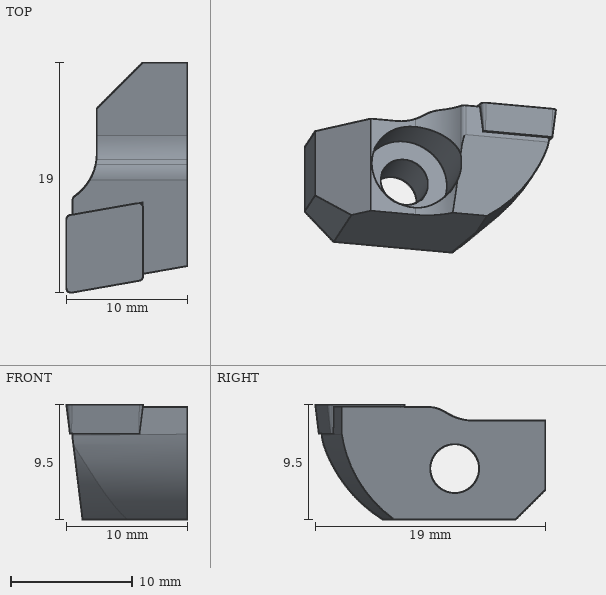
import cadquery as cq
import math

TOTAL_WIDTH = 10.0
TOTAL_LENGTH = 19.0
TOTAL_HEIGHT = 9.5

INSERT_WIDTH = 6.35
INSERT_THICKNESS = 2.4
INSERT_NOSE_RADIUS = 0.4
RELIEF_ANGLE = 7.0
LEAD_ANGLE = 10.0
LEAD_SLOPE = math.tan(math.radians(LEAD_ANGLE))
LEAD_COSINE = math.cos(math.radians(LEAD_ANGLE))
SEAT_Z = TOTAL_HEIGHT - INSERT_THICKNESS

HEAD_SIDE_X = 0.51
SHANK_SIDE_X = 2.5
FRONT_OFFSET = 0.44
SHANK_CHAMFER = 3.8
NECK_RADIUS = 4.2
NECK_START_Y = 11.44
NECK_CORNER_RADIUS = 0.45

HEAD_TOP_Z = 9.31
SHANK_TOP_Z = 8.19
STEP_START_Y = 13.02
STEP_ANGLE = 30.0
STEP_HOLLOW_RADIUS = 3.99
STEP_CROWN_RADIUS = 2.5
HEEL_CHAMFER = 2.47

SIDE_RELIEF_TOP_Z = 6.73

HOLE_Y = 11.51
HOLE_Z = 4.22
HOLE_DIAMETER = 4.0
COUNTERBORE_DIAMETER = 7.2
COUNTERBORE_DEPTH = 3.42

STRAIGHT_NOSE_ARC = [(0.63, 6.36), (2.55, 2.75), (5.6, 0.0)]
SLANTED_NOSE_ARC = [(FRONT_OFFSET, SEAT_Z - 0.11), (1.98, 2.85), (4.7, -0.04)]
SLANTED_NOSE_TILT = 0.5

MARGIN = 1.9


def tapered_rhombus(nose_radius):
    """Insert shape narrowing downwards from the top face to the seat."""
    corner_y = INSERT_NOSE_RADIUS * (1 - LEAD_SLOPE - 1 / LEAD_COSINE)
    rise = INSERT_WIDTH * LEAD_SLOPE
    side = INSERT_WIDTH / LEAD_COSINE
    outline = cq.Sketch().polygon([
        (0, corner_y),
        (INSERT_WIDTH, corner_y + rise),
        (INSERT_WIDTH, corner_y + rise + side),
        (0, corner_y + side),
        (0, corner_y),
    ])
    if nose_radius > 0:
        outline = outline.vertices().fillet(nose_radius)
    return (
        cq.Workplane("XY", origin=(0, 0, TOTAL_HEIGHT))
        .placeSketch(outline)
        .extrude(-INSERT_THICKNESS, taper=RELIEF_ANGLE)
    )


def neck_point(x):
    """Point at the given X on the hollow arc of the neck."""
    from_center = x - (SHANK_SIDE_X - NECK_RADIUS)
    return (x, NECK_START_Y - math.sqrt(NECK_RADIUS**2 - from_center**2))


def plan_body():
    """Holder outline extruded to full head height."""
    neck_middle_x = (HEAD_SIDE_X + SHANK_SIDE_X) / 2
    body = (
        cq.Workplane("XY")
        .moveTo(HEAD_SIDE_X, FRONT_OFFSET + HEAD_SIDE_X * LEAD_SLOPE)
        .lineTo(TOTAL_WIDTH, FRONT_OFFSET + TOTAL_WIDTH * LEAD_SLOPE)
        .lineTo(TOTAL_WIDTH, TOTAL_LENGTH)
        .lineTo(SHANK_SIDE_X + SHANK_CHAMFER, TOTAL_LENGTH)
        .lineTo(SHANK_SIDE_X, TOTAL_LENGTH - SHANK_CHAMFER)
        .lineTo(SHANK_SIDE_X, NECK_START_Y)
        .threePointArc(neck_point(neck_middle_x), neck_point(HEAD_SIDE_X))
        .close()
        .extrude(HEAD_TOP_Z)
    )
    corner = cq.NearestToPointSelector((*neck_point(HEAD_SIDE_X), HEAD_TOP_Z / 2))
    return body.edges("|Z").edges(corner).fillet(NECK_CORNER_RADIUS)


def side_profile():
    """Side outline with the stepped top, the heel chamfer and the straight nose arc."""
    angle = math.radians(STEP_ANGLE)
    half = angle / 2
    hollow_middle = (
        STEP_START_Y - STEP_HOLLOW_RADIUS * math.sin(half),
        SHANK_TOP_Z + STEP_HOLLOW_RADIUS * (1 - math.cos(half)),
    )
    hollow_end = (
        STEP_START_Y - STEP_HOLLOW_RADIUS * math.sin(angle),
        SHANK_TOP_Z + STEP_HOLLOW_RADIUS * (1 - math.cos(angle)),
    )
    crown_start_z = HEAD_TOP_Z - STEP_CROWN_RADIUS * (1 - math.cos(angle))
    crown_start_y = hollow_end[0] - (crown_start_z - hollow_end[1]) / math.tan(angle)
    crown_end_y = crown_start_y - STEP_CROWN_RADIUS * math.sin(angle)
    crown_middle = (
        crown_end_y + STEP_CROWN_RADIUS * math.sin(half),
        HEAD_TOP_Z - STEP_CROWN_RADIUS * (1 - math.cos(half)),
    )
    nose_top, nose_middle, nose_bottom = STRAIGHT_NOSE_ARC
    return (
        cq.Workplane("YZ")
        .moveTo(*nose_bottom)
        .lineTo(TOTAL_LENGTH - HEEL_CHAMFER, 0)
        .lineTo(TOTAL_LENGTH, HEEL_CHAMFER)
        .lineTo(TOTAL_LENGTH, SHANK_TOP_Z)
        .lineTo(STEP_START_Y, SHANK_TOP_Z)
        .threePointArc(hollow_middle, hollow_end)
        .lineTo(crown_start_y, crown_start_z)
        .threePointArc(crown_middle, (crown_end_y, HEAD_TOP_Z))
        .lineTo(0, HEAD_TOP_Z)
        .lineTo(0, nose_top[1])
        .lineTo(*nose_top)
        .threePointArc(nose_middle, nose_bottom)
        .close()
        .extrude(TOTAL_WIDTH)
    )


def slanted_nose_cutter():
    """Material removed below the slanted nose arc."""
    top, middle, bottom = [(y * LEAD_COSINE, z) for y, z in SLANTED_NOSE_ARC]
    return (
        cq.Workplane("YZ", origin=(-MARGIN, 0, 0))
        .moveTo(*top)
        .threePointArc(middle, bottom)
        .lineTo(bottom[0], -MARGIN)
        .lineTo(-MARGIN, -MARGIN)
        .lineTo(-MARGIN, top[1])
        .close()
        .extrude(TOTAL_WIDTH + 3 * MARGIN)
        .rotate((0, 0, 0), (0, 1, 0), -SLANTED_NOSE_TILT)
        .rotate((0, 0, 0), (0, 0, 1), LEAD_ANGLE)
    )


def side_relief_cutter():
    """Wedge that slopes the head side inwards towards the underside."""
    relief = SIDE_RELIEF_TOP_Z * math.tan(math.radians(RELIEF_ANGLE))
    return (
        cq.Workplane("XZ")
        .polyline([
            (HEAD_SIDE_X, SIDE_RELIEF_TOP_Z),
            (HEAD_SIDE_X + relief, 0),
            (HEAD_SIDE_X, 0),
        ])
        .close()
        .extrude(-TOTAL_LENGTH)
    )


def screw_hole_cutter():
    """Through hole along X with a counterbore in the shank side."""
    base = cq.Workplane("YZ").center(HOLE_Y, HOLE_Z)
    hole = base.circle(HOLE_DIAMETER / 2).extrude(TOTAL_WIDTH)
    counterbore = base.circle(COUNTERBORE_DIAMETER / 2).extrude(SHANK_SIDE_X + COUNTERBORE_DEPTH)
    return hole.union(counterbore)


def make_holder():
    """Holder with a sharp-cornered seat that leaves a gap at the insert nose."""
    return (
        plan_body()
        .intersect(side_profile())
        .cut(slanted_nose_cutter())
        .cut(side_relief_cutter())
        .cut(screw_hole_cutter())
        .cut(tapered_rhombus(0))
    )


def make_insert():
    return tapered_rhombus(INSERT_NOSE_RADIUS)


holder = make_holder()
insert = make_insert()
result = cq.Compound.makeCompound([*holder.solids().vals(), insert.val()])